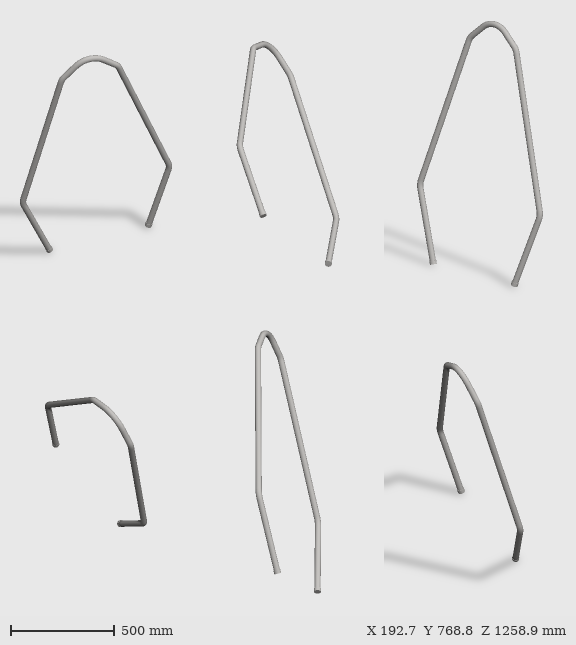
import cadquery as cq
import math

tube_diameter = 30.0
collar_diameter = 34.0
collar_length = 19.0

lean_angle = 7.4

foot_half_width = 249.0
elbow_half_width = 373.0
elbow_height = 374.0
shoulder_half_width = 142.0
shoulder_height = 1154.0
peak_height = 1285.0

elbow_radius = 75.0
shoulder_radius = 63.0
crown_radius = 101.0

corners = [
    (-foot_half_width, 0),
    (-elbow_half_width, elbow_height),
    (-shoulder_half_width, shoulder_height),
    (0, peak_height),
    (shoulder_half_width, shoulder_height),
    (elbow_half_width, elbow_height),
    (foot_half_width, 0),
]
bend_radii = [elbow_radius, shoulder_radius, crown_radius, shoulder_radius, elbow_radius]

lean = math.radians(lean_angle)
hoop_plane = cq.Plane(
    origin=(0, 0, 0),
    xDir=(0, 1, 0),
    normal=(math.cos(lean), 0, math.sin(lean)),
)


def unit_vector(start, end):
    length = math.dist(start, end)
    return ((end[0] - start[0]) / length, (end[1] - start[1]) / length)


def offset_point(point, direction, distance):
    return (point[0] + direction[0] * distance, point[1] + direction[1] * distance)


def bend_points(before, corner, after, radius):
    """Start, middle and end of the arc that rounds a corner."""
    back = unit_vector(corner, before)
    ahead = unit_vector(corner, after)
    half_angle = math.acos(back[0] * ahead[0] + back[1] * ahead[1]) / 2
    tangent_length = radius / math.tan(half_angle)
    middle_distance = radius / math.sin(half_angle) - radius
    inward = unit_vector((0, 0), (back[0] + ahead[0], back[1] + ahead[1]))
    return (
        offset_point(corner, back, tangent_length),
        offset_point(corner, inward, middle_distance),
        offset_point(corner, ahead, tangent_length),
    )


def make_tube():
    path = cq.Workplane(hoop_plane).moveTo(*corners[0])
    for before, corner, after, radius in zip(corners, corners[1:], corners[2:], bend_radii):
        start, middle, end = bend_points(before, corner, after, radius)
        path = path.lineTo(*start).threePointArc(middle, end)
    path = path.lineTo(*corners[-1])

    foot = hoop_plane.toWorldCoords(corners[0])
    first_direction = hoop_plane.toWorldCoords(corners[1]) - foot
    section_plane = cq.Plane(origin=foot, normal=first_direction)
    return cq.Workplane(section_plane).circle(tube_diameter / 2).sweep(path)


def make_collar(end, neighbour):
    base = hoop_plane.toWorldCoords(end)
    direction = hoop_plane.toWorldCoords(neighbour) - base
    collar_plane = cq.Plane(origin=base, normal=direction)
    return cq.Workplane(collar_plane).circle(collar_diameter / 2).extrude(collar_length)


result = make_tube()
for end, neighbour in ((corners[0], corners[1]), (corners[-1], corners[-2])):
    result = result.union(make_collar(end, neighbour))